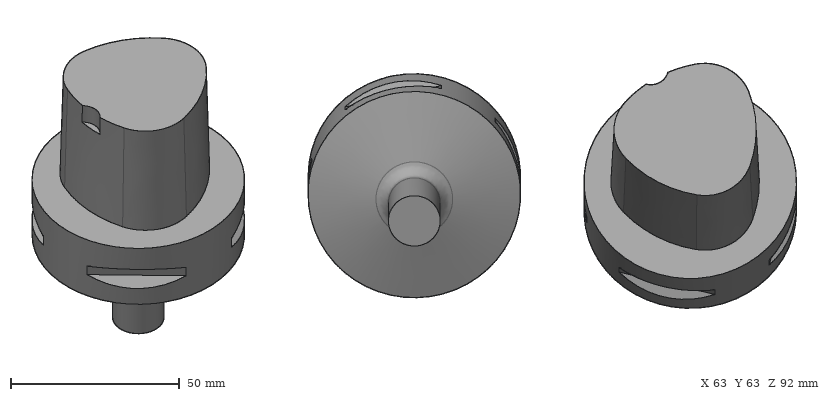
import cadquery as cq
import math

flange_bottom = 32.1
flange_top = 54.0
total_height = 92.0

shank_radius = 15.4 / 2
flange_radius = 63.0 / 2
cone_angle = 15.0
neck_fillet = 5.0

lobe_radius = 14.9
lobe_offset = 8.65
flank_radius = 37.7
taper_angle = math.degrees(math.atan(1 / 40))

groove_count = 4
groove_floor_distance = 27.9
groove_floor_height = 3.3
groove_wall_angle = 30.0
groove_center_height = 42.0

notch_radius = 5.15
notch_inner_distance = 17.8
notch_depth = 6.4


def polar(radius, degrees):
    """Point at a given radius and angle about the axis."""
    angle = math.radians(degrees)
    return (radius * math.cos(angle), radius * math.sin(angle))


def turned_body():
    """Revolved shank, conical underside and flange."""
    cone_rise = (flange_radius - shank_radius) * math.tan(math.radians(cone_angle))
    neck_height = flange_bottom - cone_rise
    body = (
        cq.Workplane("XZ")
        .moveTo(0, 0)
        .lineTo(shank_radius, 0)
        .lineTo(shank_radius, neck_height)
        .lineTo(flange_radius, flange_bottom)
        .lineTo(flange_radius, flange_top)
        .lineTo(0, flange_top)
        .close()
        .revolve(360, (0, 0), (0, 1))
    )
    at_neck = cq.selectors.BoxSelector(
        (-flange_radius, -flange_radius, neck_height - 0.9),
        (flange_radius, flange_radius, neck_height + 0.9),
    )
    return body.edges("%CIRCLE").edges(at_neck).fillet(neck_fillet)


def polygon_shank():
    """Tapered polygon of three lobes joined by tangent flank arcs."""
    lobe_side = lobe_offset * math.sin(math.radians(60))
    lobe_along = lobe_offset * math.cos(math.radians(60))
    center_gap = flank_radius - lobe_radius
    flank_offset = math.sqrt(center_gap**2 - lobe_side**2) - lobe_along
    flank_distance = flank_radius - flank_offset
    flank_half_angle = math.asin(lobe_side / center_gap)

    joint_side = flank_radius * math.sin(flank_half_angle)
    joint_along = flank_radius * math.cos(flank_half_angle) - flank_offset
    joint_distance = math.hypot(joint_side, joint_along)
    joint_angle = math.degrees(math.atan2(joint_side, joint_along))

    profile = cq.Workplane("XY").workplane(offset=flange_top)
    profile = profile.moveTo(*polar(joint_distance, -90 - joint_angle))
    for flank_angle in (-90, 30, 150):
        flank_end = polar(joint_distance, flank_angle + joint_angle)
        lobe_tip = polar(lobe_offset + lobe_radius, flank_angle + 60)
        lobe_end = polar(joint_distance, flank_angle + 120 - joint_angle)
        profile = profile.threePointArc(polar(flank_distance, flank_angle), flank_end)
        profile = profile.threePointArc(lobe_tip, lobe_end)
    return profile.close().extrude(total_height - flange_top, taper=taper_angle)


def gripper_groove():
    """Straight cutter for one groove on the +X side."""
    reach = flange_radius + 0.9
    half_floor = groove_floor_height / 2
    spread = (reach - groove_floor_distance) * math.tan(math.radians(groove_wall_angle))
    half_mouth = half_floor + spread
    return (
        cq.Workplane("XZ")
        .polyline(
            [
                (groove_floor_distance, -half_floor),
                (reach, -half_mouth),
                (reach, half_mouth),
                (groove_floor_distance, half_floor),
            ]
        )
        .close()
        .extrude(flange_radius, both=True)
        .translate((0, 0, groove_center_height))
    )


def notch():
    """Vertical cylindrical cutter at the top of the -Y flank."""
    return (
        cq.Workplane("XY")
        .workplane(offset=total_height - notch_depth)
        .center(0, -notch_inner_distance - notch_radius)
        .circle(notch_radius)
        .extrude(notch_depth)
    )


result = turned_body().union(polygon_shank()).cut(notch())
for index in range(groove_count):
    groove_angle = 45 + index * 360 / groove_count
    result = result.cut(gripper_groove().rotate((0, 0, 0), (0, 0, 1), groove_angle))